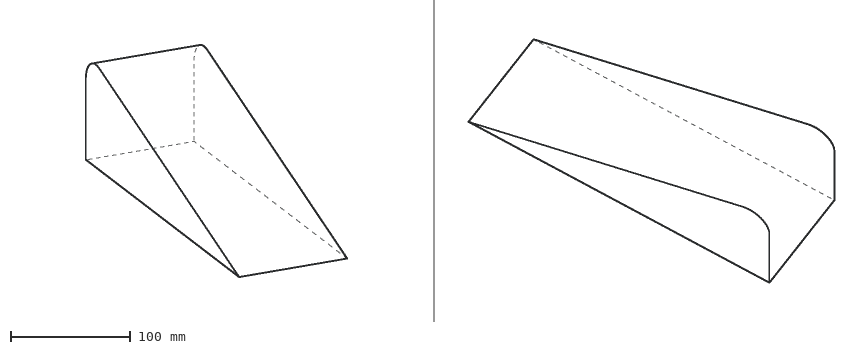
import cadquery as cq

length = 300.0
width = length / 3
heel_height = length / 3
heel_radius = length / 15

wedge = (
    cq.Workplane("XZ")
    .polyline([(0, 0), (length, 0), (0, heel_height)])
    .close()
    .extrude(-width)
)

result = wedge.edges(">Z").fillet(heel_radius)